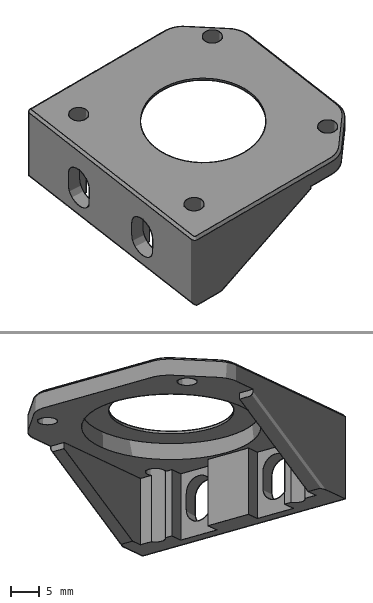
import cadquery as cq
import math

width = 45.0
depth = 42.5
height = 16.0

plate_thickness = 3.5
corner_cut = 8.5
corner_radius = 5.0
top_chamfer = 0.5

front_wall = 5.18
side_wall = 3.0
side_wall_reach = 27.1
side_wall_foot = 7.42
slope_angle = 30.0
edge_radius = 0.8

hole_pitch = 31.0
hole_diameter = 3.5
bore_diameter = 22.0
bore_y = 21.5
bore_lip = 0.5
recess_diameter = 31.5

slot_pitch = 17.0
slot_width = 5.6
slot_length = 8.5
slot_z = 6.98
slot_web = 2.6
channel_width = 8.0

plate_underside = height - plate_thickness


def make_plate():
    """Top plate with clipped, rounded rear corners."""
    half_width = width / 2
    clip_x = half_width - corner_cut
    clip_y = depth - corner_cut
    outline = [
        (-half_width, 0),
        (half_width, 0),
        (half_width, clip_y),
        (clip_x, depth),
        (-clip_x, depth),
        (-half_width, clip_y),
    ]
    return (
        cq.Workplane("XY", origin=(0, 0, plate_underside))
        .polyline(outline)
        .close()
        .extrude(plate_thickness)
        .edges("|Z and (not <Y)")
        .fillet(corner_radius)
    )


def make_skirt():
    """Front wall and sloped side walls, open at the rear."""
    slope_run = height / math.tan(math.radians(slope_angle))
    wedge = (
        cq.Workplane("YZ")
        .polyline([(0, 0), (side_wall_foot, 0), (side_wall_foot + slope_run, height), (0, height)])
        .close()
        .extrude(width / 2, both=True)
    )
    slope_face = wedge.faces(">Y")
    wedge = slope_face.edges("not |X").fillet(edge_radius)
    reach_block = cq.Workplane("XY").box(
        width, side_wall_reach, plate_underside, centered=(True, False, False)
    )
    hollow = (
        cq.Workplane("XY")
        .box(width - 2 * side_wall, side_wall_reach, plate_underside, centered=(True, False, False))
        .translate((0, front_wall, 0))
    )
    return wedge.intersect(reach_block).cut(hollow)


def round_outer_edges(body):
    """Round the front corners and front lower edge, and chamfer the top rim."""
    body = body.edges("|Z and <Y").fillet(edge_radius)
    rounded_envelope = (
        cq.Workplane("XY")
        .box(width, depth, height, centered=(True, False, False))
        .edges("<Y and <Z")
        .fillet(edge_radius)
    )
    body = body.intersect(rounded_envelope)
    return body.faces(">Z").edges().chamfer(top_chamfer)


def cut_plate_openings(body):
    """Lipped central bore and the square pattern of four holes."""
    top = cq.Workplane("XY", origin=(0, bore_y, height))
    bore = top.circle(bore_diameter / 2).extrude(-plate_thickness)
    recess = (
        top.workplane(offset=-plate_thickness)
        .circle(recess_diameter / 2)
        .extrude(plate_thickness - bore_lip)
    )
    holes = (
        top.rect(hole_pitch, hole_pitch, forConstruction=True)
        .vertices()
        .circle(hole_diameter / 2)
        .extrude(-height)
    )
    return body.cut(bore).cut(recess).cut(holes)


def cut_wall_slots(body):
    """Upright slots, each with a wider channel in the rear of the wall."""
    for slot_x in (-slot_pitch / 2, slot_pitch / 2):
        slot = (
            cq.Workplane("XZ", origin=(slot_x, 0, slot_z))
            .slot2D(slot_length, slot_width, 90)
            .extrude(-front_wall)
        )
        channel = (
            cq.Workplane("XY")
            .box(channel_width, front_wall - slot_web, plate_underside, centered=(True, False, False))
            .translate((slot_x, slot_web, 0))
        )
        body = body.cut(slot).cut(channel)
    return body


bracket = make_plate().union(make_skirt())
bracket = round_outer_edges(bracket)
bracket = cut_plate_openings(bracket)
result = cut_wall_slots(bracket)